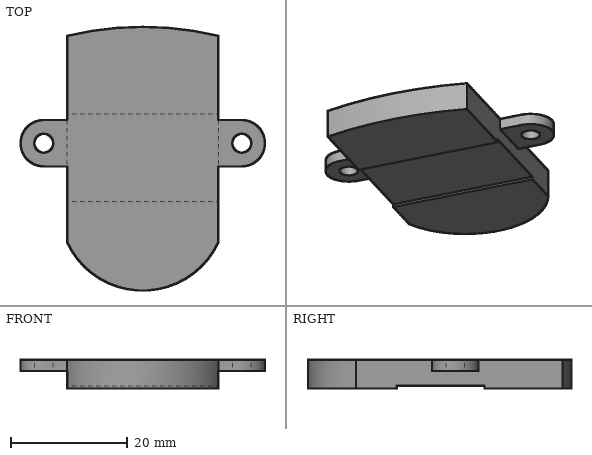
import cadquery as cq

body_width = 26.0
thickness = 5.0
back_end_y = 20.0
back_corner_y = 18.45
front_corner_y = -17.0
front_end_y = -25.32

hole_spacing = 34.0
hole_diameter = 3.2
ear_width = 8.0
ear_thickness = 2.0

channel_back_y = 5.0
channel_front_y = -10.0
channel_depth = 0.5


def make_body():
    """Straight-sided plate with a shallow arc at the back and a deep arc at the front."""
    half_width = body_width / 2
    return (
        cq.Workplane("XY")
        .moveTo(-half_width, front_corner_y)
        .lineTo(-half_width, back_corner_y)
        .threePointArc((0, back_end_y), (half_width, back_corner_y))
        .lineTo(half_width, front_corner_y)
        .threePointArc((0, front_end_y), (-half_width, front_corner_y))
        .close()
        .extrude(thickness)
    )


def make_ears():
    """One round-ended bar through the body forms both ears."""
    return (
        cq.Workplane("XY")
        .workplane(offset=thickness - ear_thickness)
        .slot2D(hole_spacing + ear_width, ear_width)
        .extrude(ear_thickness)
    )


def make_ear_holes():
    """Cylinders to cut the screw holes through both ears."""
    return (
        cq.Workplane("XY")
        .pushPoints([(-hole_spacing / 2, 0), (hole_spacing / 2, 0)])
        .circle(hole_diameter / 2)
        .extrude(thickness)
    )


def make_channel():
    """Box to cut the channel across the full width of the underside."""
    channel_length = channel_back_y - channel_front_y
    return (
        cq.Workplane("XY")
        .center(0, (channel_back_y + channel_front_y) / 2)
        .rect(body_width, channel_length)
        .extrude(channel_depth)
    )


result = make_body().union(make_ears()).cut(make_ear_holes()).cut(make_channel())